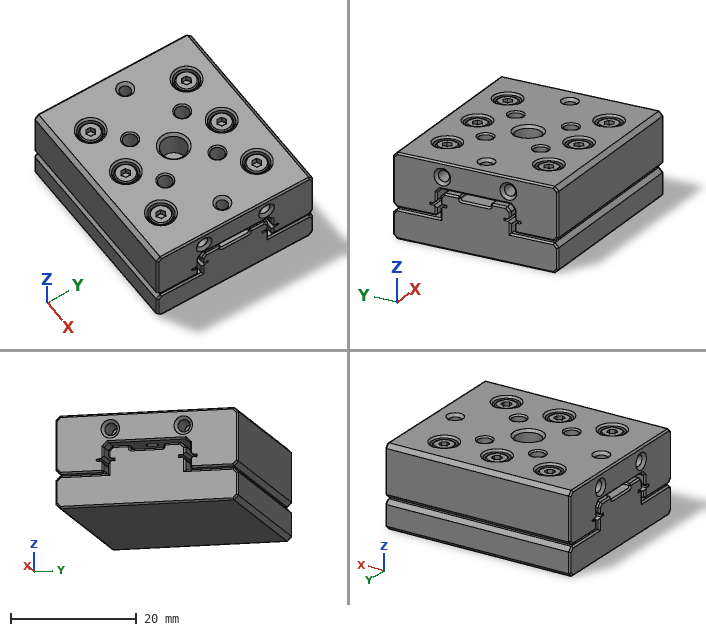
import cadquery as cq
import math


length = 35.0
width = 30.0
height = 15.0

corner_chamfer = 0.75
end_chamfer = 0.3

base_top = 5.25
rail_half_width = 6.37
rail_top = 9.73
recess_depth = 0.7
recess_half_mouth = 2.98
recess_chamfer = 0.25
recess_fillet = 0.28

carriage_bottom = base_top + 0.28
side_gap = 0.7
top_gap = 0.55
channel_half_width = rail_half_width + side_gap
channel_top = rail_top + top_gap
lip_chamfer = 0.2

raceway_z = height / 2
relief_half_width = 0.2
groove_depth = 0.45
groove_half_mouth = relief_half_width + groove_depth
carriage_relief_tip = 8.33
rail_relief_end = 5.2

center_hole_diameter = 4.6
center_hole_mouth = 5.5
mount_hole_diameter = 2.5
mount_hole_mouth = 3.0
mount_hole_offset = 5.0
locating_hole_diameter = 2.0
locating_hole_mouth = 3.0
locating_hole_x = 13.8

screw_pitch_x = 9.98
screw_y = 9.2
bore_diameter = 4.5
bore_mouth = 5.2
head_diameter = 3.8
head_height = 2.0
head_sink = 0.35
head_chamfer = 0.2
socket_across_flats = 1.5
socket_depth = 1.0

end_hole_diameter = 2.0
end_hole_mouth = 3.0
end_hole_y = 6.0
end_hole_z = 12.5
end_hole_depth = 5.0
drill_point_angle = 118.0


def bar_along_x(half_section):
    """Mirror a half section (y, z) about Y = 0 and extrude it along X."""
    mirrored = [(-y, z) for y, z in reversed(half_section)]
    return cq.Workplane("YZ").polyline(half_section + mirrored).close().extrude(length / 2, both=True)


def chamfer_ends(bar):
    return bar.faces("<X or >X").edges().chamfer(end_chamfer)


def rail_recess_cutter():
    """Shallow trough along the rail top: chamfered mouth, upright walls, filleted floor corners."""
    half_floor = recess_half_mouth - recess_chamfer
    floor = rail_top - recess_depth
    trough = bar_along_x([
        (half_floor, floor),
        (half_floor, rail_top - recess_chamfer),
        (recess_half_mouth, rail_top),
    ])
    return trough.faces("<Z").edges("|X").fillet(recess_fillet)


def raceway_cutter(wall, slot_end, point_length=0):
    """V-groove opening at the wall, with a relief slot from its root to slot_end.

    A point_length gives the slot a V-shaped bottom instead of a flat one.
    """
    direction = math.copysign(1, slot_end - wall)
    neck = wall + direction * groove_depth
    shoulder = slot_end - direction * point_length
    lower_half = [
        (wall, -groove_half_mouth),
        (neck, -relief_half_width),
        (shoulder, -relief_half_width),
    ]
    tip = [(slot_end, 0)]
    upper_half = [(y, -z) for y, z in reversed(lower_half)]
    outline = [(y, raceway_z + z) for y, z in lower_half + tip + upper_half]
    return cq.Workplane("YZ").polyline(outline).close().extrude(length / 2, both=True)


def cut_on_both_sides(body, cutter):
    return body.cut(cutter).cut(cutter.mirror("XZ"))


def countersunk_cutter(diameter, mouth, depth):
    """Drill running down from Z = 0 with a 45 degree countersink at its mouth."""
    sink = (mouth - diameter) / 2
    return (
        cq.Workplane("XZ")
        .polyline([
            (0, 0),
            (mouth / 2, 0),
            (diameter / 2, -sink),
            (diameter / 2, -depth),
            (0, -depth),
        ])
        .close()
        .revolve(360, (0, 0, 0), (0, 1, 0))
    )


def cut_top_holes(body, points, diameter, mouth, depth):
    cutter = countersunk_cutter(diameter, mouth, depth)
    for x, y in points:
        body = body.cut(cutter.translate((x, y, height)))
    return body


def screw_head():
    """Chamfered cylindrical head with a hexagon socket, standing on Z = 0."""
    socket_across_corners = socket_across_flats / math.cos(math.pi / 6)
    return (
        cq.Workplane("XY")
        .circle(head_diameter / 2)
        .extrude(head_height)
        .faces(">Z")
        .chamfer(head_chamfer)
        .faces(">Z")
        .workplane()
        .transformed(rotate=(0, 0, 90))
        .polygon(6, socket_across_corners)
        .cutBlind(-socket_depth)
    )


def end_hole_cutter():
    """Countersunk blind hole with a drill point, running down from Z = 0."""
    radius = end_hole_diameter / 2
    point_length = radius / math.tan(math.radians(drill_point_angle / 2))
    point = cq.Workplane(cq.Solid.makeCone(radius, 0, point_length, dir=cq.Vector(0, 0, -1)))
    drill = countersunk_cutter(end_hole_diameter, end_hole_mouth, end_hole_depth)
    return drill.union(point.translate((0, 0, -end_hole_depth)))


def build_rail():
    half_width = width / 2
    rail = bar_along_x([
        (half_width - corner_chamfer, 0),
        (half_width, corner_chamfer),
        (half_width, base_top - corner_chamfer),
        (half_width - corner_chamfer, base_top),
        (rail_half_width, base_top),
        (rail_half_width, rail_top - corner_chamfer),
        (rail_half_width - corner_chamfer, rail_top),
    ])
    rail = chamfer_ends(rail.cut(rail_recess_cutter()))
    return cut_on_both_sides(rail, raceway_cutter(rail_half_width, rail_relief_end))


def build_carriage():
    half_width = width / 2
    carriage = bar_along_x([
        (channel_half_width - corner_chamfer, channel_top),
        (channel_half_width, channel_top - corner_chamfer),
        (channel_half_width, carriage_bottom + lip_chamfer),
        (channel_half_width + lip_chamfer, carriage_bottom),
        (half_width - corner_chamfer, carriage_bottom),
        (half_width, carriage_bottom + corner_chamfer),
        (half_width, height - corner_chamfer),
        (half_width - corner_chamfer, height),
    ])
    carriage = chamfer_ends(carriage)
    raceway = raceway_cutter(channel_half_width, carriage_relief_tip, relief_half_width)
    carriage = cut_on_both_sides(carriage, raceway)

    plate_thickness = height - channel_top
    mount_points = [(x, y) for x in (-mount_hole_offset, mount_hole_offset)
                    for y in (-mount_hole_offset, mount_hole_offset)]
    locating_points = [(-locating_hole_x, 0), (locating_hole_x, 0)]
    carriage = cut_top_holes(carriage, [(0, 0)], center_hole_diameter, center_hole_mouth, plate_thickness)
    carriage = cut_top_holes(carriage, mount_points, mount_hole_diameter, mount_hole_mouth,
                             height - carriage_bottom)
    carriage = cut_top_holes(carriage, locating_points, locating_hole_diameter, locating_hole_mouth,
                             plate_thickness)

    screw_points = [(x, y) for x in (-screw_pitch_x, 0, screw_pitch_x) for y in (-screw_y, screw_y)]
    bore_depth = head_sink + head_height
    carriage = cut_top_holes(carriage, screw_points, bore_diameter, bore_mouth, bore_depth)
    head = screw_head()
    for x, y in screw_points:
        carriage = carriage.union(head.translate((x, y, height - bore_depth)))

    end_hole = end_hole_cutter().rotate((0, 0, 0), (0, 1, 0), -90)
    for y in (-end_hole_y, end_hole_y):
        near_hole = end_hole.translate((-length / 2, y, end_hole_z))
        carriage = carriage.cut(near_hole).cut(near_hole.mirror("YZ"))
    return carriage


rail = build_rail()
carriage = build_carriage()
result = cq.Compound.makeCompound([rail.solids().val(), carriage.solids().val()])